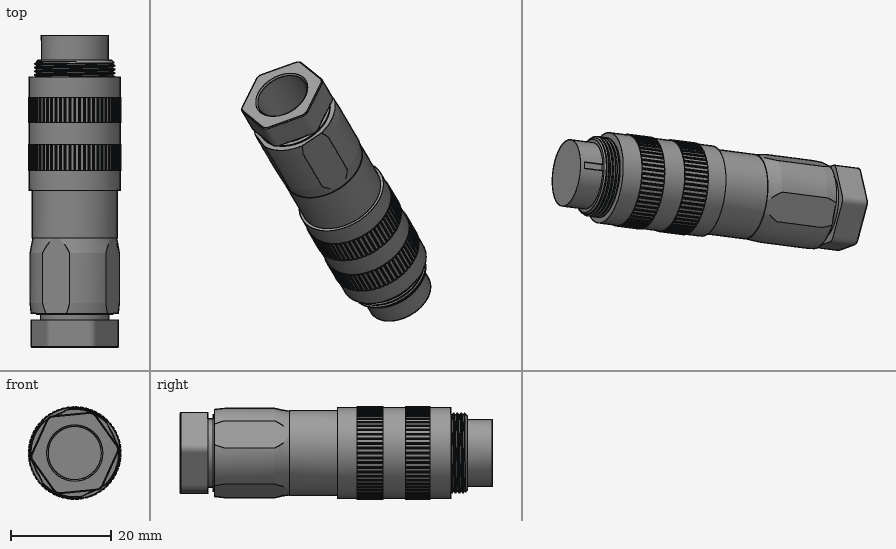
import cadquery as cq
import math


nut_length = 5.55
nut_across_flats = 15.55
nut_corner_radius = 1.55
nut_edge_chamfer = 0.2
nut_turn = 5.6
bore_diameter = 10.6
bore_mouth_chamfer = 0.3
bore_depth = 12.45

neck_diameter = 13.7
washer_start = 6.6
washer_diameter = 15.3

grip_start = 6.85
grip_full_start = 8.9
grip_full_end = 18.85
grip_end = 21.85
grip_diameter = 17.85
grip_nut_end_diameter = 17.4
grip_sleeve_end_diameter = 16.75
flat_distance = 8.4
flat_count = 4
flat_turn = 26.3

sleeve_diameter = 17.0
ring_start = 31.4
ring_end = 54.0
ring_diameter = 18.2

knurl_bands = [(35.3, 40.45), (44.9, 49.85)]
knurl_diameter = 18.5
knurl_teeth = 60
tooth_top_share = 0.6
groove_floor_share = 0.2

thread_end = 57.35
thread_root_diameter = 15.3
thread_crest_diameter = 16.0
thread_pitch = 0.75
thread_end_diameter = 14.7
thread_crest_y = 56.8
thread_ridge_base = 0.6
thread_ridge_top = 0.1
ridge_overlap = 0.1
ridge_overrun_turns = 2

tip_end = 62.25
tip_diameter = 13.4
slot_width = 1.3
slot_end_gap = 0.95
slot_depth = 0.3


def cylinder(diameter, start, end):
    """Solid cylinder around the Y axis."""
    base = cq.Workplane("XZ", origin=(0, start, 0))
    return base.circle(diameter / 2).extrude(start - end)


def revolved(profile):
    """Turn a closed (radius, y) profile around the Y axis."""
    return cq.Workplane("XY").polyline(profile).close().revolve(360, (0, 0, 0), (0, 1, 0))


def polar(radius, degrees):
    """Point in the XZ plane; the angle runs from +X toward +Z."""
    angle = math.radians(degrees)
    return (radius * math.cos(angle), radius * math.sin(angle))


def make_nut():
    corner_diameter = nut_across_flats / math.cos(math.pi / 6)
    nut = (
        cq.Workplane("XZ")
        .polygon(6, corner_diameter)
        .extrude(-nut_length)
        .edges("|Y")
        .fillet(nut_corner_radius)
        .faces("<Y")
        .chamfer(nut_edge_chamfer)
    )
    return nut.rotate((0, 0, 0), (0, 1, 0), -nut_turn)


def make_bore():
    radius = bore_diameter / 2
    return revolved([
        (0, 0),
        (radius + bore_mouth_chamfer, 0),
        (radius, bore_mouth_chamfer),
        (radius, bore_depth),
        (0, bore_depth),
    ])


def make_grip():
    grip = revolved([
        (0, grip_start),
        (grip_nut_end_diameter / 2, grip_start),
        (grip_diameter / 2, grip_full_start),
        (grip_diameter / 2, grip_full_end),
        (grip_sleeve_end_diameter / 2, grip_end),
        (0, grip_end),
    ])
    middle = (grip_start + grip_end) / 2
    for index in range(flat_count):
        waste = cq.Workplane("XY").box(
            grip_diameter, grip_end - grip_start, grip_diameter
        ).translate((flat_distance + grip_diameter / 2, middle, 0))
        turn = flat_turn + index * 360 / flat_count
        grip = grip.cut(waste.rotate((0, 0, 0), (0, 1, 0), -turn))
    return grip


def make_knurl(start, end):
    """Toothed band whose groove floors reach the coupling ring surface."""
    tooth_angle = 360 / knurl_teeth
    half_top = tooth_top_share * tooth_angle / 2
    half_floor = groove_floor_share * tooth_angle / 2
    outline = []
    for index in range(knurl_teeth):
        groove = index * tooth_angle
        top = groove + tooth_angle / 2
        outline += [
            polar(ring_diameter / 2, groove - half_floor),
            polar(ring_diameter / 2, groove + half_floor),
            polar(knurl_diameter / 2, top - half_top),
            polar(knurl_diameter / 2, top + half_top),
        ]
    base = cq.Workplane("XZ", origin=(0, start, 0))
    return base.polyline(outline).close().extrude(start - end)


def make_thread():
    """Right-handed ridge on a round core, chamfered at the tip side."""
    root = thread_root_diameter / 2
    crest = thread_crest_diameter / 2
    end_radius = thread_end_diameter / 2

    turns = math.ceil((thread_end - ring_end) / thread_pitch) + 2 * ridge_overrun_turns
    last_start_before_crest = thread_crest_y - 0.75 * thread_pitch
    ridge_start = last_start_before_crest - (turns - ridge_overrun_turns - 1) * thread_pitch
    ridge_length = turns * thread_pitch
    half_base = thread_ridge_base / 2
    half_top = thread_ridge_top / 2
    sunk = root - ridge_overlap
    helix = cq.Wire.makeHelix(
        thread_pitch, ridge_length, root, cq.Vector(0, 0, 0), cq.Vector(0, 0, 1)
    )
    ridge = (
        cq.Workplane("XZ")
        .polyline([(sunk, -half_base), (crest, -half_top), (crest, half_top), (sunk, half_base)])
        .close()
        .sweep(cq.Workplane(helix), isFrenet=True)
        .rotate((0, 0, 0), (1, 0, 0), -90)
        .translate((0, ridge_start, 0))
    )
    core = cylinder(thread_root_diameter, ridge_start, ridge_start + ridge_length)

    outer = ring_diameter / 2
    envelope = revolved([
        (0, ring_end),
        (outer, ring_end),
        (outer, thread_end - (outer - end_radius)),
        (end_radius, thread_end),
        (0, thread_end),
    ])
    return core.union(ridge).intersect(envelope)


def make_tip():
    tip = cylinder(tip_diameter, ring_end, tip_end)
    slot_end = tip_end - slot_end_gap
    slot = cq.Workplane("XY").box(
        2 * slot_depth, slot_end - thread_end, slot_width
    ).translate((-tip_diameter / 2, (slot_end + thread_end) / 2, 0))
    return tip.cut(slot)


neck = cylinder(neck_diameter, nut_length, grip_start)
washer = cylinder(washer_diameter, washer_start, grip_start)
sleeve = cylinder(sleeve_diameter, grip_end, ring_start)
ring = cylinder(ring_diameter, ring_start, ring_end)

result = make_nut().union(neck).union(washer).union(make_grip()).union(sleeve).union(ring)
for band_start, band_end in knurl_bands:
    result = result.union(make_knurl(band_start, band_end))
result = result.union(make_thread()).union(make_tip()).cut(make_bore())